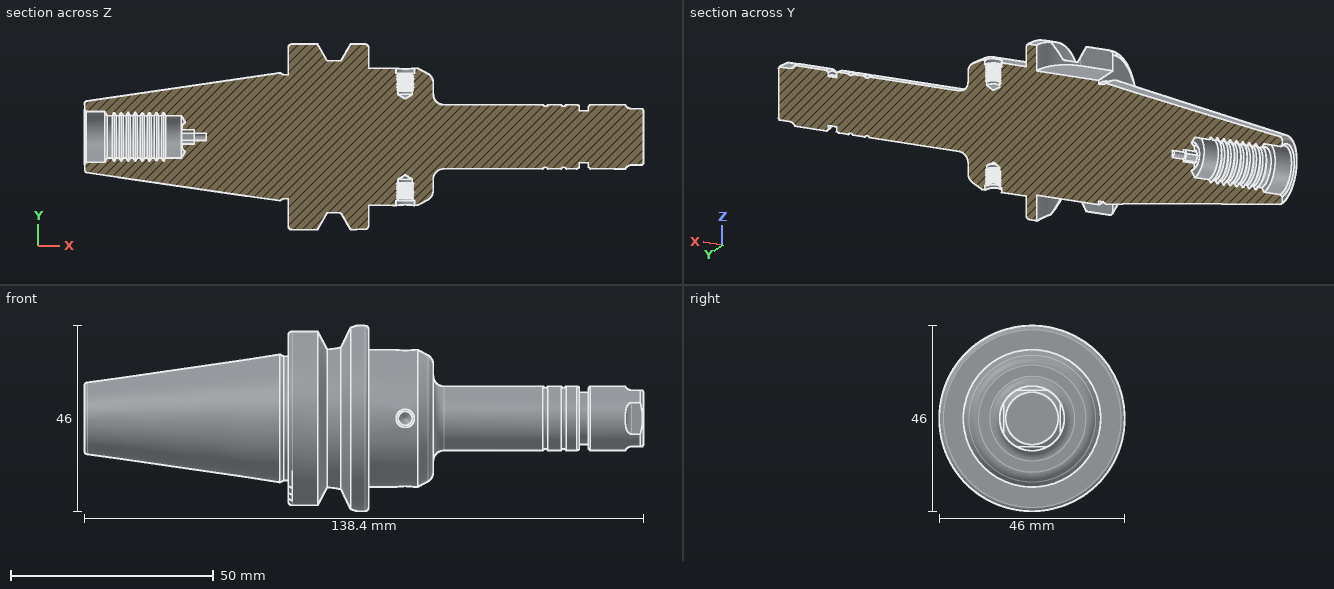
import cadquery as cq
import math


gauge_dia = 31.75
taper_length = 48.4
taper_ratio = 7 / 24
taper_end_fillet = 0.8

flange_dia = 46.0
flange_start = 2.0
flange_end = 22.0
flange_fillet = 1.0
relief_dia = 30.8
relief_start = 0.9
groove_floor_dia = 37.8
groove_floor_start = 11.7
groove_floor_end = 15.1
groove_half_angle = 30

slot_width = 16.1
slot_floor_height = 16.3
slot_end = 19.0

body_dia = 34.0
body_end = 38.0
body_cone_start = 34.1
body_cone_angle = 28
body_fillet = 2.75

neck_dia = 16.0
neck_fillet = 2.5
neck_end = 74.1
neck_end_chamfer_length = 0.6
neck_end_chamfer_depth = 0.3
ring_groove_starts = (65.1, 69.6)
ring_groove_width = 1.2
ring_groove_depth = 0.4

throat_dia = 13.0
nut_dia = 16.0
nut_start = 76.3
nut_end = 90.0
nut_start_chamfer = 0.5
nut_end_chamfer_length = 0.8
nut_end_dia = 13.0
wrench_flats = 4
wrench_flat_distance = 7.0
wrench_flat_start = 87.0
wrench_runout_radius = 1.7

mouth_dia = 13.5
pilot_dia = 12.5
pilot_depth = 5.0
pilot_shoulder_length = 0.6
thread_dia = 10.4
thread_pitch = 1.75
thread_groove_count = 8
thread_groove_width = 1.0
thread_groove_depth = 0.8
thread_depth = 24.0
drill_half_angle = 59

screw_end_base_dia = 7.3
screw_end_face_dia = 5.75
screw_end_height = 0.8
socket_across_flats = 3.0
socket_depth = 3.0
socket_hole_dia = 1.7
socket_hole_depth = 3.0

thread_start = pilot_depth + pilot_shoulder_length
drill_cone_length = (thread_dia - screw_end_base_dia) / 2 / math.tan(math.radians(drill_half_angle))
bore_floor = thread_depth + drill_cone_length
socket_face = bore_floor - screw_end_height

screw_count = 4
screw_position = 31.0
screw_dia = 3.46
screw_mouth_dia = 4.5
screw_mouth_depth = 1.2
screw_thread_pitch = 0.7
screw_groove_count = 6
screw_groove_width = 0.5
screw_groove_depth = 0.3
screw_depth = 6.5


def arc_point(center_x, center_r, radius, degrees):
    """Point on a profile arc, with the angle measured from +X towards +radius."""
    angle = math.radians(degrees)
    return (center_x + radius * math.cos(angle), center_r + radius * math.sin(angle))


def turned_body():
    """Solid of revolution about X: taper, flange, body, neck and nut."""
    flange_r = flange_dia / 2
    floor_r = groove_floor_dia / 2
    body_r = body_dia / 2
    neck_r = neck_dia / 2
    throat_r = throat_dia / 2
    nut_r = nut_dia / 2
    wall_run = (flange_r - floor_r) * math.tan(math.radians(groove_half_angle))

    taper_half_angle = math.degrees(math.atan(taper_ratio / 2))
    taper_end_r = (gauge_dia - taper_length * taper_ratio) / 2
    taper_corner = math.tan(math.radians(90 - taper_half_angle) / 2) * taper_end_fillet
    taper_arc = (-taper_length + taper_end_fillet, taper_end_r - taper_corner, taper_end_fillet)
    taper_arc_end = 90 + taper_half_angle

    rim_arc_r = flange_r - flange_fillet
    front_arc = (flange_start + flange_fillet, rim_arc_r, flange_fillet)
    rear_arc = (flange_end - flange_fillet, rim_arc_r, flange_fillet)

    cone_slope = math.tan(math.radians(body_cone_angle))
    body_arc_start = 90 - body_cone_angle
    body_arc_x = body_end - body_fillet
    body_cone_end = arc_point(body_arc_x, 0, body_fillet, body_arc_start)[0]
    cone_end_r = body_r - (body_cone_end - body_cone_start) * cone_slope
    body_arc_r = cone_end_r - body_fillet * math.cos(math.radians(body_cone_angle))
    body_arc = (body_arc_x, body_arc_r, body_fillet)

    neck_arc = (body_end + neck_fillet, neck_r + neck_fillet, neck_fillet)

    profile = (
        cq.Workplane("XY")
        .moveTo(-taper_length, 0)
        .lineTo(*arc_point(*taper_arc, 180))
        .threePointArc(
            arc_point(*taper_arc, (180 + taper_arc_end) / 2),
            arc_point(*taper_arc, taper_arc_end),
        )
        .lineTo(0, gauge_dia / 2)
        .lineTo(relief_start, relief_dia / 2)
        .lineTo(flange_start, relief_dia / 2)
        .lineTo(*arc_point(*front_arc, 180))
        .threePointArc(arc_point(*front_arc, 135), arc_point(*front_arc, 90))
        .lineTo(groove_floor_start - wall_run, flange_r)
        .lineTo(groove_floor_start, floor_r)
        .lineTo(groove_floor_end, floor_r)
        .lineTo(groove_floor_end + wall_run, flange_r)
        .lineTo(*arc_point(*rear_arc, 90))
        .threePointArc(arc_point(*rear_arc, 45), arc_point(*rear_arc, 0))
        .lineTo(flange_end, body_r)
        .lineTo(body_cone_start, body_r)
        .lineTo(body_cone_end, cone_end_r)
        .threePointArc(arc_point(*body_arc, body_arc_start / 2), arc_point(*body_arc, 0))
        .lineTo(*arc_point(*neck_arc, 180))
        .threePointArc(arc_point(*neck_arc, 225), arc_point(*neck_arc, 270))
        .lineTo(neck_end - neck_end_chamfer_length, neck_r)
        .lineTo(neck_end, neck_r - neck_end_chamfer_depth)
        .lineTo(neck_end, throat_r)
        .lineTo(nut_start, throat_r)
        .lineTo(nut_start, nut_r - nut_start_chamfer)
        .lineTo(nut_start + nut_start_chamfer, nut_r)
        .lineTo(nut_end - nut_end_chamfer_length, nut_r)
        .lineTo(nut_end, nut_end_dia / 2)
        .lineTo(nut_end, 0)
        .close()
    )
    return profile.revolve(360, (0, 0, 0), (1, 0, 0))


def ring_groove(start):
    """Cutter for a shallow round-bottomed groove around the neck."""
    neck_r = neck_dia / 2
    middle = start + ring_groove_width / 2
    end = start + ring_groove_width
    profile = (
        cq.Workplane("XY")
        .moveTo(start, neck_r + ring_groove_depth)
        .lineTo(start, neck_r)
        .threePointArc((middle, neck_r - ring_groove_depth), (end, neck_r))
        .lineTo(end, neck_r + ring_groove_depth)
        .close()
    )
    return profile.revolve(360, (0, 0, 0), (1, 0, 0))


def drive_slot(side):
    """Round-ended drive slot on the +Z (side = 1) or -Z (side = -1) side."""
    arc_center = slot_end - slot_width / 2
    half_width = slot_width / 2
    return (
        cq.Workplane("XY")
        .workplane(offset=side * slot_floor_height)
        .moveTo(0, -half_width)
        .lineTo(arc_center, -half_width)
        .threePointArc((slot_end, 0), (arc_center, half_width))
        .lineTo(0, half_width)
        .close()
        .extrude(side * flange_dia)
    )


def wrench_flat():
    """Cutter for one nut flat on the +Z side, with a rounded run-out."""
    radius = wrench_runout_radius
    arc_top = wrench_flat_distance + radius
    runout_arc = (wrench_flat_start, arc_top, radius)
    profile = (
        cq.Workplane("XZ")
        .moveTo(wrench_flat_start, wrench_flat_distance)
        .lineTo(nut_end, wrench_flat_distance)
        .lineTo(nut_end, arc_top)
        .lineTo(wrench_flat_start - radius, arc_top)
        .threePointArc(arc_point(*runout_arc, 225), arc_point(*runout_arc, 270))
        .close()
    )
    return profile.extrude(nut_dia / 2, both=True)


def stepped_bore():
    """Blind threaded bore in the taper end, with a raised screw end at its bottom."""
    profile = (
        cq.Workplane("XY")
        .lineTo(0, mouth_dia / 2)
        .lineTo(mouth_dia / 2 - pilot_dia / 2, pilot_dia / 2)
        .lineTo(pilot_depth, pilot_dia / 2)
        .lineTo(thread_start, thread_dia / 2)
        .lineTo(thread_depth, thread_dia / 2)
        .lineTo(bore_floor, screw_end_base_dia / 2)
        .lineTo(socket_face, screw_end_face_dia / 2)
        .lineTo(socket_face, 0)
        .close()
    )
    bore = profile.revolve(360, (0, 0, 0), (1, 0, 0))
    return bore.translate((-taper_length, 0, 0))


def thread_groove(index):
    """Cutter for one V-shaped ring standing in for a turn of the bore thread."""
    minor_r = thread_dia / 2
    middle = thread_start + (index + 1) * thread_pitch - taper_length
    profile = (
        cq.Workplane("XY")
        .moveTo(middle - thread_groove_width / 2, minor_r)
        .lineTo(middle, minor_r + thread_groove_depth)
        .lineTo(middle + thread_groove_width / 2, minor_r)
        .close()
    )
    return profile.revolve(360, (0, 0, 0), (1, 0, 0))


def screw_socket():
    """Hexagon socket in the screw end, with a smaller hole in its floor."""
    socket = (
        cq.Workplane("YZ")
        .workplane(offset=socket_face - taper_length)
        .polygon(6, socket_across_flats / math.cos(math.pi / 6))
        .extrude(socket_depth)
    )
    return socket.faces(">X").workplane().circle(socket_hole_dia / 2).extrude(socket_hole_depth)


def screw_hole():
    """Blind counterbored and threaded screw hole in the body, on the +Z side."""
    top = body_dia / 2
    screw_r = screw_dia / 2
    mouth_r = screw_mouth_dia / 2
    mouth_floor = top - screw_mouth_depth
    floor = top - screw_depth
    tip = floor - screw_r / math.tan(math.radians(drill_half_angle))
    profile = (
        cq.Workplane("XZ")
        .moveTo(0, top + screw_mouth_depth)
        .lineTo(mouth_r, top + screw_mouth_depth)
        .lineTo(mouth_r, mouth_floor)
        .lineTo(screw_r, mouth_floor)
    )
    for i in range(screw_groove_count):
        middle = mouth_floor - (i + 1) * screw_thread_pitch
        profile = (
            profile
            .lineTo(screw_r, middle + screw_groove_width / 2)
            .lineTo(screw_r + screw_groove_depth, middle)
            .lineTo(screw_r, middle - screw_groove_width / 2)
        )
    profile = profile.lineTo(screw_r, floor).lineTo(0, tip).close()
    hole = profile.revolve(360, (0, 0, 0), (0, 1, 0))
    return hole.translate((screw_position, 0, 0))


def around_axis(cutter, count):
    """Copies of a cutter spaced evenly around the X axis."""
    return [cutter.rotate((0, 0, 0), (1, 0, 0), i * 360 / count) for i in range(count)]


cutters = [stepped_bore(), screw_socket(), drive_slot(1), drive_slot(-1)]
cutters += [ring_groove(start) for start in ring_groove_starts]
cutters += [thread_groove(i) for i in range(thread_groove_count)]
cutters += around_axis(wrench_flat(), wrench_flats)
cutters += around_axis(screw_hole(), screw_count)

result = turned_body()
for cutter in cutters:
    result = result.cut(cutter)